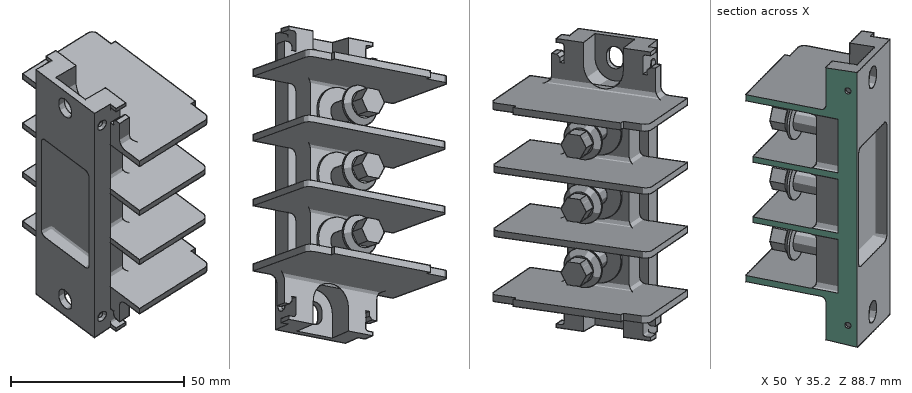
import cadquery as cq
import math

length = 88.7
half_length = length / 2
overall_depth = 35.2
joint = 0.9

base_width = 25.0
half_base = base_width / 2
base_depth = 6.2
end_draft = math.radians(2.6)

plate_width = 50.0
bay_pitch = 19.4
outer_plate_z = 1.5 * bay_pitch
inner_plate_z = 0.5 * bay_pitch
outer_plate_thickness = 2.1
inner_plate_thickness = 1.95
inner_plate_back = 32.9
shoulder_back = 33.6
crown_width = 34.2
plate_corner = 1.95

block_width = 19.5
block_back = 13.5
block_side_fillet = 1.9
block_back_fillet = 1.3

end_back = 10.0
end_back_fillet = 1.5
tab_x = 16.5
tab_inner_x = 13.8
tab_top = 39.2
tab_chamfer = 1.0
tab_notch_z = 36.8
tab_fillet = 2.5
ear_x = 15.0
ear_bottom = 42.75
ear_fillet = 0.9

slot_z = 37.8
slot_width = 5.2
slot_length = 6.7
channel_radius = 6.3
channel_floor = 2.1
side_hole_y = 3.0
side_hole_radius = 0.9
side_hole_depth = 2.2
side_sink_radius = 1.7

pocket_width = 20.2
pocket_length = 38.5
pocket_depth = 4.0
pocket_corner = 1.6
pocket_taper = 10.0
pocket_floor_fillet = 1.1

washer_radius = 7.5
washer_back = 14.4
shank_radius = 3.2
flange_radius = 5.9
flange_start = 23.7
flange_end = 24.4
cone_end = 25.9
cone_end_radius = 4.1
hex_flats = 7.0
head_core_radius = 3.55
head_end = 30.7


def mirrored_in_z(body):
    return body.union(body.mirror("XY"))


def extrude_y(profile, start, end):
    """Extrude an XZ profile drawn on the y = 0 plane so that it fills start <= y <= end."""
    return profile.extrude(start - end).translate((0, start, 0))


def extrude_x(profile, width):
    return profile.extrude(width / 2, both=True)


def concave_mid(corner_h, corner_z, radius, direction):
    """Middle of a concave quarter arc whose sharp corner would be at (corner_h, corner_z)."""
    inset = radius * (1 - math.sqrt(0.5))
    return corner_h + inset, corner_z + direction * inset


def base_bar():
    setback = base_depth * math.tan(end_draft)
    side = cq.Workplane("YZ").polyline([
        (0, -half_length),
        (base_depth, -half_length + setback),
        (base_depth, half_length - setback),
        (0, half_length),
    ]).close()
    return extrude_x(side, base_width)


def plate_slab(z, width, thickness, back):
    slab = cq.Workplane("XY").box(width, back - base_depth, thickness, centered=(True, False, True))
    return slab.translate((0, base_depth, z))


def plate(z, thickness, back):
    """Barrier plate centred on height z with its two rear corners rounded."""
    body = plate_slab(z, plate_width, thickness, back)
    return body.edges("|Z and >Y").fillet(plate_corner)


def outer_plate():
    """End plate with a middle crown that reaches the full depth."""
    crown = plate_slab(outer_plate_z, crown_width, outer_plate_thickness, overall_depth)
    return plate(outer_plate_z, outer_plate_thickness, shoulder_back).union(crown)


def flared_profile(plane, far, low, high, radius):
    """Profile from 0 to far whose far side flares by concave arcs into plates at low and high."""
    return (
        cq.Workplane(plane)
        .moveTo(0, low)
        .lineTo(far + radius, low)
        .threePointArc(concave_mid(far, low, radius, 1), (far, low + radius))
        .lineTo(far, high - radius)
        .threePointArc(concave_mid(far, high, radius, -1), (far + radius, high))
        .lineTo(0, high)
        .close()
    )


def terminal_block(low, high):
    """Block filling one bay, flared into the plates on its sides and back."""
    half = flared_profile("XZ", block_width / 2, low, high, block_side_fillet)
    half = extrude_y(half, base_depth - joint, block_back + block_back_fillet)
    sides = half.union(half.mirror("YZ"))
    back = flared_profile("YZ", block_back, low, high, block_back_fillet)
    return sides.intersect(extrude_x(back, plate_width))


def end_block():
    """Block beyond the upper plate with its two latch tabs, ears and flared foot."""
    foot = outer_plate_z + outer_plate_thickness / 2
    half = (
        cq.Workplane("XZ")
        .moveTo(0, foot)
        .lineTo(tab_x + tab_fillet, foot)
        .threePointArc(concave_mid(tab_x, foot, tab_fillet, 1), (tab_x, foot + tab_fillet))
        .lineTo(tab_x, tab_top)
        .lineTo(tab_inner_x + tab_chamfer, tab_top)
        .lineTo(tab_inner_x, tab_top - tab_chamfer)
        .lineTo(tab_inner_x, tab_notch_z)
        .lineTo(half_base, tab_notch_z)
        .lineTo(half_base, ear_bottom - ear_fillet)
        .threePointArc(
            concave_mid(half_base, ear_bottom, ear_fillet, -1), (half_base + ear_fillet, ear_bottom)
        )
        .lineTo(ear_x, ear_bottom)
        .lineTo(ear_x, half_length)
        .lineTo(0, half_length)
        .close()
    )
    half = extrude_y(half, base_depth, end_back + end_back_fillet)
    face = half.union(half.mirror("YZ"))
    side = (
        cq.Workplane("YZ")
        .moveTo(0, foot)
        .lineTo(end_back + end_back_fillet, foot)
        .threePointArc(
            concave_mid(end_back, foot, end_back_fillet, 1), (end_back, foot + end_back_fillet)
        )
        .lineTo(end_back, half_length - end_back * math.tan(end_draft))
        .lineTo(0, half_length)
        .close()
    )
    return face.intersect(extrude_x(side, plate_width))


def terminal_screw():
    """Washer, shank, conical flange and head on the Y axis.

    The head is a hexagon whose flats are slightly broken by a round core.
    """
    half_section = cq.Workplane("XY").polyline([
        (0, block_back - joint),
        (washer_radius, block_back - joint),
        (washer_radius, washer_back),
        (shank_radius, washer_back),
        (shank_radius, flange_start),
        (flange_radius, flange_start),
        (flange_radius, flange_end),
        (cone_end_radius, cone_end),
        (head_core_radius, cone_end),
        (head_core_radius, head_end),
        (0, head_end),
    ]).close()
    turned = half_section.revolve(360, (0, 0, 0), (0, 1, 0))
    hexagon = cq.Workplane("XZ").polygon(6, hex_flats / math.cos(math.pi / 6))
    return turned.union(extrude_y(hexagon, cone_end - joint, head_end))


def mounting_cut():
    """Obround through slot and the wider channel that opens at the end of the part."""
    slot = cq.Workplane("XZ").center(0, slot_z).slot2D(slot_length, slot_width, 90)
    channel_z = slot_z - (slot_length - slot_width) / 2
    channel = (
        cq.Workplane("XZ")
        .moveTo(channel_radius, half_length)
        .lineTo(channel_radius, channel_z)
        .threePointArc((0, channel_z - channel_radius), (-channel_radius, channel_z))
        .lineTo(-channel_radius, half_length)
        .close()
    )
    return extrude_y(slot, 0, end_back).union(extrude_y(channel, channel_floor, end_back))


def side_holes():
    """Countersunk blind screw holes in both sides of the base bar."""
    floor_x = half_base - side_hole_depth
    sink_x = half_base - (side_sink_radius - side_hole_radius)
    hole = (
        cq.Workplane("XY")
        .polyline([
            (floor_x, 0),
            (floor_x, side_hole_radius),
            (sink_x, side_hole_radius),
            (half_base, side_sink_radius),
            (half_base, 0),
        ])
        .close()
        .revolve(360, (0, 0, 0), (1, 0, 0))
        .translate((0, side_hole_y, slot_z))
    )
    return hole.union(hole.mirror("YZ"))


def pocket():
    """Tapered front pocket with rounded corners and a rounded floor edge."""
    body = (
        cq.Workplane("XZ")
        .sketch()
        .rect(pocket_width, pocket_length)
        .vertices()
        .fillet(pocket_corner)
        .finalize()
        .extrude(-pocket_depth, taper=pocket_taper)
    )
    return body.faces(">Y").edges().fillet(pocket_floor_fillet)


bay_low = inner_plate_z + inner_plate_thickness / 2
bay_high = outer_plate_z - outer_plate_thickness / 2
middle_high = inner_plate_z - inner_plate_thickness / 2

result = base_bar()
for body in (
    outer_plate(),
    plate(inner_plate_z, inner_plate_thickness, inner_plate_back),
    terminal_block(bay_low, bay_high),
    end_block(),
):
    result = result.union(mirrored_in_z(body))
result = result.union(terminal_block(-middle_high, middle_high))
for screw_z in (-bay_pitch, 0, bay_pitch):
    result = result.union(terminal_screw().translate((0, 0, screw_z)))
for cut in (mounting_cut(), side_holes()):
    result = result.cut(mirrored_in_z(cut))
result = result.cut(pocket())